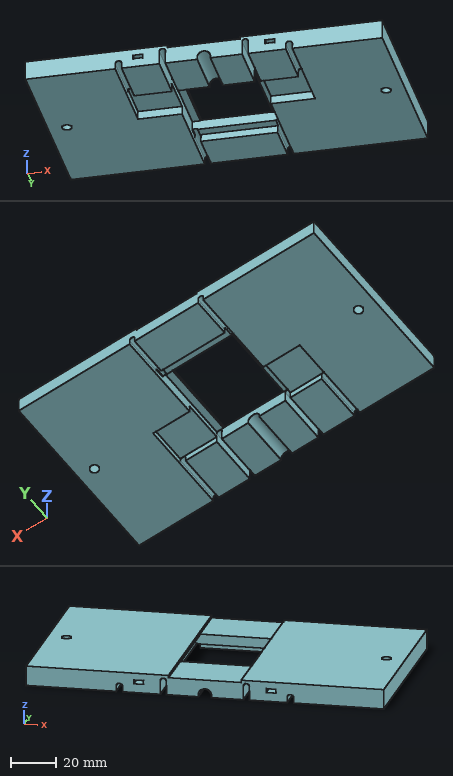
import cadquery as cq

LENGTH = 162.0
WIDTH = 90.0
HEIGHT = 9.0
FRONT_Y = -WIDTH / 2

STRIP_WIDTH = 32.9
STRIP_DROP = 1.05
WINDOW_DEPTH = 40.5
REAR_RECESS_DEPTH = 4.9
REAR_RECESS_HEIGHT = 3.4

GROOVE_X = 18.8
GROOVE_WIDTH = 2.8
GROOVE_HEIGHT = 7.6
SLOT_X = 30.0
SLOT_WIDTH = 4.4
SLOT_HEIGHT = 1.8
SLOT_CENTRE_Z = 5.0
SLOT_DEPTH = 8.1
CHANNEL_X = 38.7
CHANNEL_WIDTH = 2.9
HOLE_X = 72.4
HOLE_DIAMETER = 4.4

PASSAGE_HEIGHT = 3.9
CENTRE_PASSAGE_WIDTH = 6.0

GROOVE_OUTER_X = GROOVE_X + GROOVE_WIDTH / 2
POCKET_OUTER_X = CHANNEL_X + CHANNEL_WIDTH / 2


def block(x_range, y_range, z_range):
    """Box spanning the given ranges."""
    size = [high - low for low, high in (x_range, y_range, z_range)]
    corner = (x_range[0], y_range[0], z_range[0])
    return cq.Workplane("XY").box(*size, centered=False).translate(corner)


def arched_cutter(x, width, height, y_start, y_end):
    """Round-topped cutter along Y, standing on the underside."""
    radius = width / 2
    return (
        cq.Workplane("XZ", origin=(x, y_start, 0))
        .moveTo(-radius, 0)
        .lineTo(-radius, height - radius)
        .threePointArc((0, height), (radius, height - radius))
        .lineTo(radius, 0)
        .close()
        .extrude(y_start - y_end)
    )


def cut_middle(plate):
    """Lower the strip, open the window and undercut the wings and rear strip around it."""
    half_strip = STRIP_WIDTH / 2
    strip_x = (-half_strip, half_strip)
    window_y = (-WINDOW_DEPTH / 2, WINDOW_DEPTH / 2)
    undercut_x = (-GROOVE_OUTER_X, GROOVE_OUTER_X)
    plate = plate.cut(block(strip_x, (FRONT_Y, -FRONT_Y), (HEIGHT - STRIP_DROP, HEIGHT)))
    plate = plate.cut(block(strip_x, window_y, (0, HEIGHT)))
    plate = plate.cut(block(undercut_x, window_y, (0, GROOVE_HEIGHT)))
    recess_y = (0, WINDOW_DEPTH / 2 + REAR_RECESS_DEPTH)
    plate = plate.cut(block(undercut_x, recess_y, (0, REAR_RECESS_HEIGHT)))
    return plate.cut(arched_cutter(0, CENTRE_PASSAGE_WIDTH, PASSAGE_HEIGHT, FRONT_Y, 0))


def cut_side(plate, side):
    """Cut the grooves, pocket, slot and hole of one wing; side is -1 or 1."""
    plate = plate.cut(arched_cutter(side * GROOVE_X, GROOVE_WIDTH, GROOVE_HEIGHT, FRONT_Y, 0))
    plate = plate.cut(arched_cutter(side * GROOVE_X, GROOVE_WIDTH, PASSAGE_HEIGHT, 0, -FRONT_Y))

    plate = plate.cut(arched_cutter(side * CHANNEL_X, CHANNEL_WIDTH, PASSAGE_HEIGHT, FRONT_Y, 0))
    pocket_x = sorted((side * GROOVE_X, side * POCKET_OUTER_X))
    plate = plate.cut(block(pocket_x, (-WINDOW_DEPTH / 2, 0), (0, PASSAGE_HEIGHT)))

    slot = cq.Workplane("XY").box(SLOT_WIDTH, SLOT_DEPTH, SLOT_HEIGHT)
    plate = plate.cut(slot.translate((side * SLOT_X, FRONT_Y + SLOT_DEPTH / 2, SLOT_CENTRE_Z)))

    hole = cq.Workplane("XY").circle(HOLE_DIAMETER / 2).extrude(HEIGHT)
    return plate.cut(hole.translate((side * HOLE_X, 0, 0)))


result = cq.Workplane("XY").box(LENGTH, WIDTH, HEIGHT, centered=(True, True, False))
result = cut_middle(result)
for wing in (-1, 1):
    result = cut_side(result, wing)